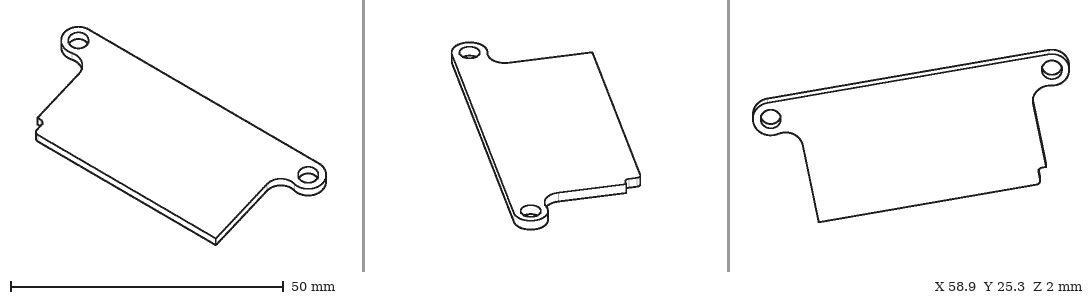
import cadquery as cq
import math

LENGTH = 58.92
DEPTH = 25.29
THICKNESS = 2.0

BODY_WIDTH = 43.0
LEFT_OVERHANG = 7.85

LEFT_LUG_RADIUS = 3.175
RIGHT_LUG_RADIUS = 3.3
LUG_FILLET_RADIUS = 3.175
HOLE_DIAMETER = 3.71

NOTCH_WIDTH = 1.57
NOTCH_HEIGHT = 3.16
NOTCH_RADIUS = 0.8

left_end = -LENGTH / 2
right_end = LENGTH / 2
back = DEPTH / 2
front = -DEPTH / 2
body_left = left_end + LEFT_OVERHANG
body_right = body_left + BODY_WIDTH
notch_right = body_left + NOTCH_WIDTH
notch_top = front + NOTCH_HEIGHT

left_lug_center = (left_end + LEFT_LUG_RADIUS, back - LEFT_LUG_RADIUS)
right_lug_center = (right_end - RIGHT_LUG_RADIUS, back - RIGHT_LUG_RADIUS)


def polar(center, radius, angle):
    """Point on a circle at an angle in radians."""
    return (center[0] + radius * math.cos(angle), center[1] + radius * math.sin(angle))


def lug_fillet(lug_center, lug_radius, body_edge, outward):
    """Start on the body edge, middle and tangent point on the lug of the fillet.

    outward is -1 for the left lug and +1 for the right lug.
    """
    center_x = body_edge + outward * LUG_FILLET_RADIUS
    offset_x = center_x - lug_center[0]
    center_distance = lug_radius + LUG_FILLET_RADIUS
    center = (center_x, lug_center[1] - math.sqrt(center_distance**2 - offset_x**2))
    tangent_angle = math.atan2(lug_center[1] - center[1], lug_center[0] - center[0])
    body_angle = 0 if outward < 0 else math.pi
    start = polar(center, LUG_FILLET_RADIUS, body_angle)
    middle = polar(center, LUG_FILLET_RADIUS, (body_angle + tangent_angle) / 2)
    end = polar(center, LUG_FILLET_RADIUS, tangent_angle)
    return start, middle, end


def make_plate():
    """Plate outline with both lugs, drawn counterclockwise from the front left."""
    right_start, right_middle, right_tangent = lug_fillet(
        right_lug_center, RIGHT_LUG_RADIUS, body_right, 1
    )
    left_start, left_middle, left_tangent = lug_fillet(
        left_lug_center, LEFT_LUG_RADIUS, body_left, -1
    )
    outline = (
        cq.Workplane("XY")
        .moveTo(body_left, front)
        .lineTo(body_right, front)
        .lineTo(*right_start)
        .threePointArc(right_middle, right_tangent)
        .threePointArc((right_end, right_lug_center[1]), (right_lug_center[0], back))
        .lineTo(left_lug_center[0], back)
        .threePointArc((left_end, left_lug_center[1]), left_tangent)
        .threePointArc(left_middle, left_start)
        .close()
    )
    return outline.extrude(THICKNESS)


def cut_corner_notch(plate):
    """Step the front left corner, rounding its inner and front corners."""
    notch = (
        cq.Workplane("XY")
        .moveTo(body_left, front)
        .lineTo(notch_right + NOTCH_RADIUS, front)
        .radiusArc((notch_right, front + NOTCH_RADIUS), NOTCH_RADIUS)
        .lineTo(notch_right, notch_top - NOTCH_RADIUS)
        .radiusArc((notch_right - NOTCH_RADIUS, notch_top), -NOTCH_RADIUS)
        .lineTo(body_left, notch_top)
        .close()
        .extrude(THICKNESS)
    )
    return plate.cut(notch)


def cut_mounting_holes(plate):
    """Through holes concentric with the lugs."""
    holes = (
        cq.Workplane("XY")
        .pushPoints([left_lug_center, right_lug_center])
        .circle(HOLE_DIAMETER / 2)
        .extrude(THICKNESS)
    )
    return plate.cut(holes)


result = cut_mounting_holes(cut_corner_notch(make_plate()))